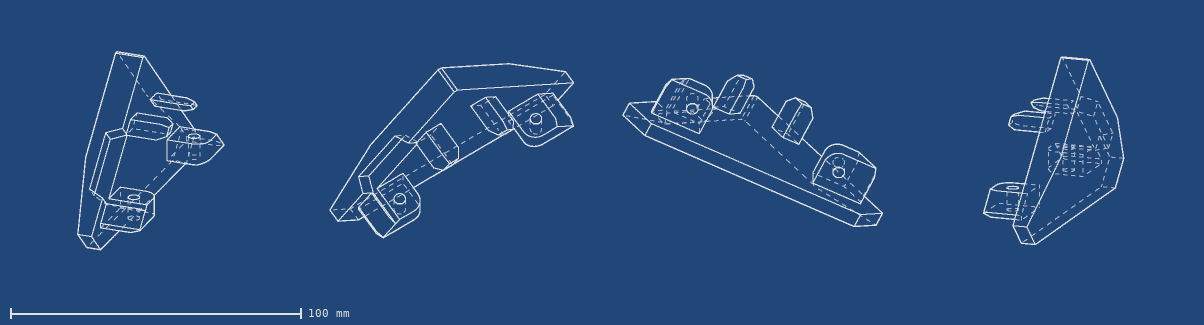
import cadquery as cq
import math

half_width = 48.5
height = 56.3
apex_half_width = 0.7
corner_height = half_width - apex_half_width
corner_z = height - corner_height
base_half_width = half_width - corner_z
rim_thickness = 5.1
plate_thickness = 10.2
bevel_height = 20.2

protrusion = 14.2
tip_length = 3.0
tip_inset = 0.9
edge_line = 49.9

peg_top_z = 37.6
peg_bottom_z = 33.5
peg_length = 6.1

tab_top_z = 16.1
tab_bottom_z = 8.2
tab_inner_y = 21.7
tab_outer_y = 40.0
tab_corner_radius = 4.85
hole_y = 28.0
hole_x = 7.6
hole_diameter = 4.0

notch_depth = 5.5
notch_floor_line = 48.5
notch_outer_line = 63.05
notch_middle = 0.9
notch_open_half = 18.6
notch_deep_half = 15.0


def prism(points, start_x, length):
    return cq.Workplane("YZ", origin=(start_x, 0, 0)).polyline(points).close().extrude(length)


def loft(start_points, end_points, start_x, length):
    sketch = cq.Workplane("YZ", origin=(start_x, 0, 0)).polyline(start_points).close()
    return sketch.workplane(offset=length).polyline(end_points).close().loft(ruled=True)


def bevel_cutter(edge_y, edge_z, run, angle):
    """Wedge that starts at the rim on a plate edge and reaches the front face after the run."""
    rise = plate_thickness - rim_thickness
    reach = 2
    wedge = (
        cq.Workplane("XZ")
        .polyline([
            (-rim_thickness + rise, -run),
            (-rim_thickness - reach * rise, reach * run),
            (-rim_thickness - reach * rise, -run),
        ])
        .close()
        .extrude(half_width, both=True)
    )
    return wedge.rotate((0, 0, 0), (1, 0, 0), angle).translate((0, edge_y, edge_z))


def make_plate():
    right_side = [
        (base_half_width, 0),
        (half_width, corner_z),
        (apex_half_width, height),
    ]
    outline = right_side + [(-y, z) for y, z in reversed(right_side)]
    rim = prism(outline, -rim_thickness, rim_thickness)
    face = prism(outline, -plate_thickness, plate_thickness - rim_thickness)
    face = face.cut(bevel_cutter(0, 0, bevel_height, 0))
    corner_run = base_half_width / math.sqrt(2)
    for side in (-1, 1):
        face = face.cut(bevel_cutter(side * base_half_width, 0, corner_run, side * 45))
    return rim.union(face)


def tapered_post(section):
    """Straight post with a tapered tip; section(inset) gives its YZ outline."""
    straight_length = protrusion - tip_length
    straight = prism(section(0), 0, straight_length)
    tip = loft(section(0), section(tip_inset), straight_length, tip_length)
    return straight.union(tip)


def peg_section(inset):
    """Parallelogram with horizontal and 45 degree sides, each moved in by the inset."""
    top = peg_top_z - inset
    bottom = peg_bottom_z + inset
    outer = edge_line - inset * math.sqrt(2)
    inner = edge_line - peg_length + inset * math.sqrt(2)
    return [
        (inner - top, top),
        (outer - top, top),
        (outer - bottom, bottom),
        (inner - bottom, bottom),
    ]


def tab_section(inset):
    """Tab outline: only its sloping, outer and bottom sides move in by the inset."""
    outer = tab_outer_y - inset
    bottom = tab_bottom_z + inset
    slope = edge_line - inset * math.sqrt(2)
    return [
        (tab_inner_y, tab_top_z),
        (slope - tab_top_z, tab_top_z),
        (outer, slope - outer),
        (outer, bottom),
        (tab_inner_y, bottom),
    ]


def make_tab():
    envelope = (
        cq.Workplane("XY")
        .moveTo(0, tab_inner_y)
        .lineTo(protrusion - tab_corner_radius, tab_inner_y)
        .radiusArc((protrusion, tab_inner_y + tab_corner_radius), -tab_corner_radius)
        .lineTo(protrusion, half_width)
        .lineTo(0, half_width)
        .close()
        .extrude(height)
    )
    hole = cq.Workplane("XY").center(hole_x, hole_y).circle(hole_diameter / 2).extrude(height)
    return tapered_post(tab_section).intersect(envelope).cut(hole)


def notch_outline(half_span):
    """Rectangle turned 45 degrees, across the sloping edge on the -Y side."""
    low = notch_middle - half_span
    high = notch_middle + half_span
    corners = [
        (notch_floor_line, low),
        (notch_outer_line, low),
        (notch_outer_line, high),
        (notch_floor_line, high),
    ]
    return [(-(total + difference) / 2, (total - difference) / 2) for total, difference in corners]


def make_notch():
    in_plate = loft(notch_outline(notch_deep_half), notch_outline(notch_open_half), -notch_depth, notch_depth)
    past_plate = prism(notch_outline(notch_open_half), 0, protrusion)
    return in_plate.union(past_plate)


def mirrored_pair(post):
    return post.union(post.mirror("XZ"))


result = make_plate().union(mirrored_pair(make_tab()))
result = result.cut(make_notch())
result = result.union(mirrored_pair(tapered_post(peg_section)))